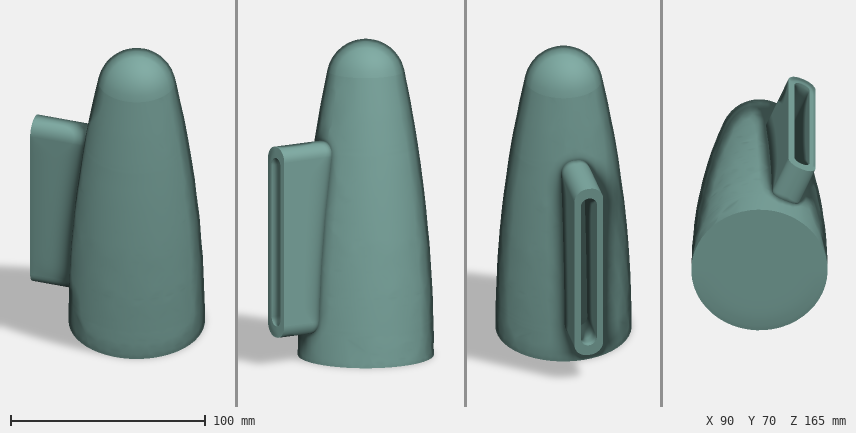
import cadquery as cq
import math

total_height = 165
base_radius = 35.0
seam_radius = 19.8
seam_height = 148.8
bracket_reach = 55.0
bracket_width = 15.2
bracket_bottom = 15.2
bracket_top = 114.8
bracket_corner = 7.0
slot_width = 8.4
slot_length = 88.1

bracket_height = bracket_top - bracket_bottom
bracket_middle = (bracket_top + bracket_bottom) / 2


def make_body():
    """Revolve a flank that rises vertically from the base into a spherical tip."""
    inset = base_radius - seam_radius
    flank_radius = (seam_height**2 + inset**2) / (2 * inset)
    flank_mid_height = seam_height / 2
    flank_mid_radius = base_radius - flank_radius + math.sqrt(flank_radius**2 - flank_mid_height**2)

    tip_height = total_height - seam_height
    tip_radius = (tip_height**2 + seam_radius**2) / (2 * tip_height)
    tip_center = total_height - tip_radius
    tip_mid_height = total_height - tip_height / 2
    tip_mid_radius = math.sqrt(tip_radius**2 - (tip_mid_height - tip_center) ** 2)

    return (
        cq.Workplane("XZ")
        .lineTo(base_radius, 0)
        .threePointArc((flank_mid_radius, flank_mid_height), (seam_radius, seam_height))
        .threePointArc((tip_mid_radius, tip_mid_height), (0, total_height))
        .close()
        .revolve(360, (0, 0), (0, 1))
    )


def make_bracket():
    """Slotted, round-ended sleeve running from its open end to the body axis."""
    open_end = cq.Workplane("YZ", origin=(-bracket_reach, 0, bracket_middle))
    sleeve = open_end.rect(bracket_width, bracket_height).extrude(bracket_reach).edges("|X").fillet(bracket_corner)
    slot = open_end.slot2D(slot_length, slot_width, 90).extrude(bracket_reach)
    return sleeve.cut(slot)


result = make_body().union(make_bracket())